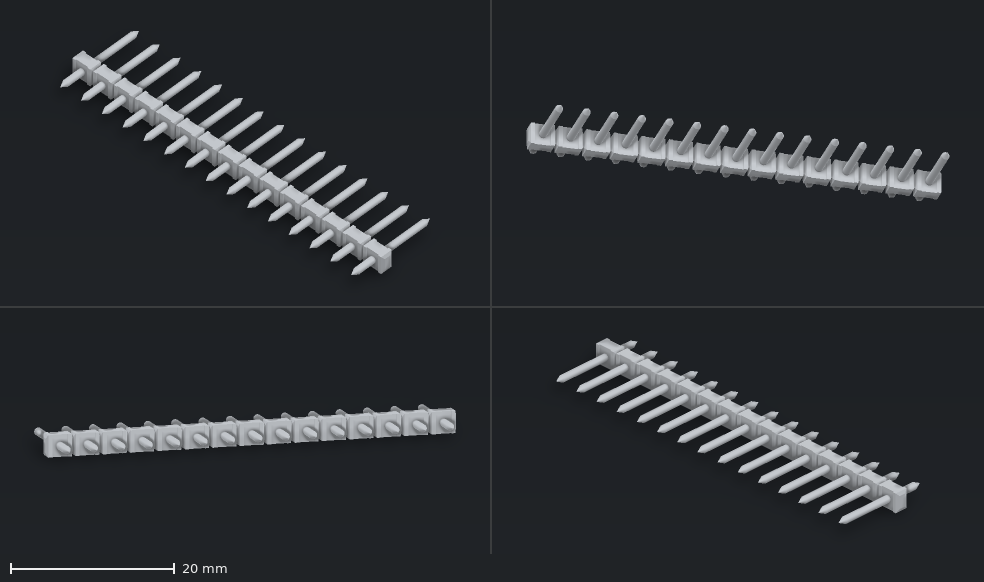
import cadquery as cq

pin_count = 15
pitch = 3.5
pin_diameter = 1.0
pin_tip_length = 1.0
front_pin_length = 3.75
rear_pin_length = 8.35

block_width = 3.0
block_depth = 1.9
block_height = 2.8
groove_width = 2.0
groove_depth = 0.15

taper_inset = 0.5
taper_length = 0.2
neck_depth = block_depth - 2 * taper_inset
neck_height = block_height - 2 * taper_inset
neck_length = pitch - block_width - 2 * taper_length


def make_block():
    """Block with a full-height groove in its front and rear faces."""
    block = cq.Workplane("XY").box(block_width, block_depth, block_height)
    groove = cq.Workplane("XY").box(groove_width, groove_depth, block_height)
    groove_y = (block_depth - groove_depth) / 2
    for side in (-1, 1):
        block = block.cut(groove.translate((0, side * groove_y, 0)))
    return block


def make_taper(side):
    """Frustum from a block side face to the neck section; side is -1 for -X and 1 for +X."""
    return (
        cq.Workplane("YZ", origin=(side * block_width / 2, 0, 0))
        .rect(block_depth, block_height)
        .workplane(offset=side * taper_length)
        .rect(neck_depth, neck_height)
        .loft(ruled=True)
    )


def make_neck():
    """Straight bar between the tapers of one block and the next block toward +X."""
    neck = cq.Workplane("XY").box(neck_length, neck_depth, neck_height)
    return neck.translate((pitch / 2, 0, 0))


def make_pin():
    """Round pin along Y with a pointed cone at each end."""
    radius = pin_diameter / 2
    front_y = -block_depth / 2 - front_pin_length
    rear_y = block_depth / 2 + rear_pin_length
    half_profile = (
        cq.Workplane("XY")
        .moveTo(0, front_y)
        .lineTo(radius, front_y + pin_tip_length)
        .lineTo(radius, rear_y - pin_tip_length)
        .lineTo(0, rear_y)
        .close()
    )
    return half_profile.revolve(360, (0, 0, 0), (0, 1, 0))


def make_position():
    """One contact position, centred on x = 0: the block, its two tapers and its pin."""
    position = make_block()
    for side in (-1, 1):
        position = position.union(make_taper(side))
    return position.union(make_pin())


first_x = -pitch * (pin_count - 1) / 2
position = make_position()
linked_position = position.union(make_neck())
linked_solids = [
    linked_position.translate((first_x + i * pitch, 0, 0)).val()
    for i in range(pin_count - 1)
]
last_position = position.translate((-first_x, 0, 0))

result = last_position.union(cq.Workplane("XY").newObject(linked_solids))